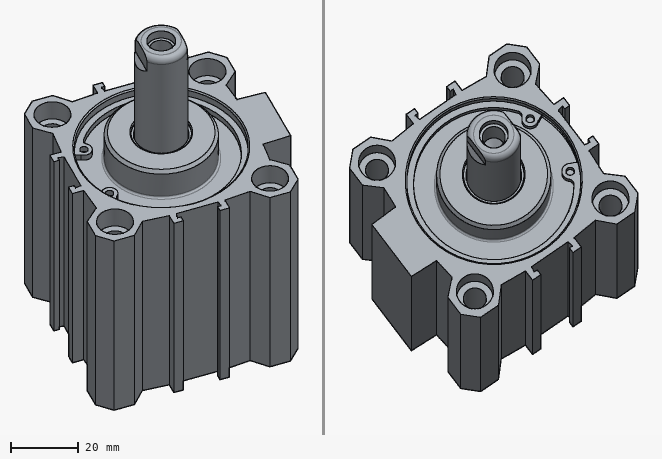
import cadquery as cq
import math

body_width = 65.0
body_half = body_width / 2
body_height = 69.6
lug_bevel_start = 28.2
lug_flat_start = 21.7
valley_along = 17.3
valley_out = 27.8
wall_out = 28.5

rail_outer = 8.9
rail_neck_root = 6.7
rail_neck_tip = 7.0
rail_hook_edge = 5.9
rail_hook_under = 30.3
rail_out = 32.1

port_half_root = 10.4
port_half_tip = 10.1
overall_depth = 70.0
port_out = overall_depth - body_half

mount_offset = 24.9
mount_dia = 6.8
mount_counterbore_dia = 11.0
mount_counterbore_depth = 7.0

bore_dia = 51.8
bore_chamfer = 0.5
ring_dia = 55.1
ring_inner_dia = 47.7
ring_thickness = 2.0
ring_depth = 2.8
ring_top_z = body_height - ring_depth
ring_bottom_z = ring_top_z - ring_thickness
flange_thickness = 5.6
bore_floor_z = ring_bottom_z - flange_thickness

eye_x = 10.2
eye_y = -20.7
eye_radius = 2.5
eye_hole_dia = 2.5
eye_blend = 1.7

boss_dia = 34.0
boss_top_z = 75.5
boss_chamfer = 1.0
boss_root_fillet = 0.7
rod_mouth_dia = 18.0
rod_mouth_depth = 0.8
rod_mouth_chamfer = 0.3

rod_dia = 16.0
rod_clearance_dia = 16.5
rod_top_z = 113.0
rod_end_fillet = 2.0
flat_width = 13.0
flat_length = 5.9
rod_counterbore_dia = 8.6
rod_counterbore_depth = 2.9
rod_drill_dia = 6.8
rod_drill_depth = 13.6
drill_point_angle = 118.0


def cylinder(diameter, bottom_z, top_z):
    """Solid cylinder on the Z axis between two heights."""
    return cq.Workplane("XY").workplane(offset=bottom_z).circle(diameter / 2).extrude(top_z - bottom_z)


def turned(profile):
    """Solid of revolution about Z from (radius, height) points."""
    return cq.Workplane("XZ").polyline(profile).close().revolve(360, (0, 0, 0), (0, 1, 0))


def side_points(middle):
    """One side of the housing, as (along, out) points from its right lug to its left lug.

    `middle` lists the points of the right half between the lug foot and the centre of the side.
    """
    right = [
        (lug_bevel_start, body_half),
        (lug_flat_start, body_half),
        (valley_along, valley_out),
    ] + middle
    left = [(-along, out) for along, out in reversed(right)]
    return right + left


def housing_outline():
    rails = [
        (rail_outer, wall_out),
        (rail_outer, rail_out),
        (rail_hook_edge, rail_out),
        (rail_hook_edge, rail_hook_under),
        (rail_neck_tip, rail_hook_under),
        (rail_neck_root, wall_out),
    ]
    port = [
        (port_half_root, wall_out),
        (port_half_tip, port_out),
    ]
    outline = []
    for quarter, middle in enumerate([port, rails, rails, rails]):
        turn = math.radians(90 * quarter)
        for along, out in side_points(middle):
            x = along * math.cos(turn) - out * math.sin(turn)
            y = along * math.sin(turn) + out * math.cos(turn)
            outline.append((x, y))
    return outline


def make_housing():
    housing = cq.Workplane("XY").polyline(housing_outline()).close().extrude(body_height)
    housing = (
        housing.faces(">Z").workplane(origin=(0, 0, 0))
        .rect(2 * mount_offset, 2 * mount_offset, forConstruction=True).vertices()
        .cboreHole(mount_dia, mount_counterbore_dia, mount_counterbore_depth)
    )
    bore_radius = bore_dia / 2
    groove_radius = ring_dia / 2
    bore = turned([
        (0, bore_floor_z),
        (bore_radius, bore_floor_z),
        (bore_radius, ring_bottom_z),
        (groove_radius, ring_bottom_z),
        (groove_radius, ring_top_z),
        (bore_radius, ring_top_z),
        (bore_radius, body_height - bore_chamfer),
        (bore_radius + bore_chamfer, body_height),
        (0, body_height),
    ])
    return housing.cut(bore)


def make_rod_cover():
    """Flange and boss turned in one piece, bored for the rod, with a wider mouth at the top."""
    clearance_radius = rod_clearance_dia / 2
    mouth_radius = rod_mouth_dia / 2
    boss_radius = boss_dia / 2
    flange_radius = bore_dia / 2
    fillet_top_z = ring_bottom_z + boss_root_fillet
    fillet_inset = boss_root_fillet * (1 - math.sqrt(0.5))
    half_section = (
        cq.Workplane("XZ")
        .moveTo(clearance_radius, bore_floor_z)
        .lineTo(flange_radius, bore_floor_z)
        .lineTo(flange_radius, ring_bottom_z)
        .lineTo(boss_radius + boss_root_fillet, ring_bottom_z)
        .threePointArc(
            (boss_radius + fillet_inset, ring_bottom_z + fillet_inset),
            (boss_radius, fillet_top_z),
        )
        .lineTo(boss_radius, boss_top_z - boss_chamfer)
        .lineTo(boss_radius - boss_chamfer, boss_top_z)
        .lineTo(mouth_radius + rod_mouth_chamfer, boss_top_z)
        .lineTo(mouth_radius, boss_top_z - rod_mouth_chamfer)
        .lineTo(mouth_radius, boss_top_z - rod_mouth_depth)
        .lineTo(clearance_radius, boss_top_z - rod_mouth_depth)
        .close()
    )
    return half_section.revolve(360, (0, 0, 0), (0, 1, 0))


def make_retaining_ring():
    ring = cylinder(ring_dia, ring_bottom_z, ring_top_z)
    ring = ring.cut(cylinder(ring_inner_dia, ring_bottom_z, ring_top_z))

    eye_reach = math.hypot(eye_x, eye_y)
    radial_x = eye_x / eye_reach
    radial_y = eye_y / eye_reach
    touch = (eye_x + eye_radius * radial_y, eye_y - eye_radius * radial_x)
    outside = (touch[0] + ring_dia * radial_x, touch[1] + ring_dia * radial_y)
    gap = (
        cq.Workplane("XY").workplane(offset=ring_bottom_z)
        .polyline([touch, outside, (-outside[0], outside[1]), (-touch[0], touch[1])]).close()
        .extrude(ring_thickness)
    )
    ring = ring.cut(gap)

    eye_centres = [(-eye_x, eye_y), (eye_x, eye_y)]
    at_eyes = cq.Workplane("XY").workplane(offset=ring_bottom_z).pushPoints(eye_centres)
    ring = ring.union(at_eyes.circle(eye_radius).extrude(ring_thickness))
    corner_z = (ring_bottom_z + ring_top_z) / 2
    for side in (-1, 1):
        beside_eye = (side * (eye_x + eye_radius), eye_y + eye_radius / 2, corner_z)
        corner = cq.selectors.NearestToPointSelector(beside_eye)
        ring = ring.edges("|Z").edges(corner).fillet(eye_blend)
    return ring.cut(at_eyes.circle(eye_hole_dia / 2).extrude(ring_thickness))


def make_rod():
    rod = cylinder(rod_dia, bore_floor_z, rod_top_z)
    rod = rod.faces(">Z").edges().fillet(rod_end_fillet)

    flat_half = flat_width / 2
    flat_end_z = rod_top_z - flat_length
    flat_cut = (
        cq.Workplane("YZ")
        .polyline([
            (flat_half, rod_top_z),
            (flat_half, flat_end_z),
            (flat_half + rod_dia, flat_end_z - rod_dia),
            (flat_half + rod_dia, rod_top_z),
        ]).close()
        .extrude(rod_dia, both=True)
    )
    rod = rod.cut(flat_cut).cut(flat_cut.mirror("XZ"))

    drill_radius = rod_drill_dia / 2
    counterbore_radius = rod_counterbore_dia / 2
    drill_end_z = rod_top_z - rod_drill_depth
    point_length = drill_radius / math.tan(math.radians(drill_point_angle / 2))
    end_hole = turned([
        (0, drill_end_z - point_length),
        (drill_radius, drill_end_z),
        (drill_radius, rod_top_z - rod_counterbore_depth),
        (counterbore_radius, rod_top_z - rod_counterbore_depth),
        (counterbore_radius, rod_top_z),
        (0, rod_top_z),
    ])
    return rod.cut(end_hole)


housing = make_housing()
rod_cover = make_rod_cover()
retaining_ring = make_retaining_ring()
rod = make_rod()

result = cq.Compound.makeCompound([
    housing.val(),
    rod_cover.val(),
    retaining_ring.val(),
    rod.val(),
])